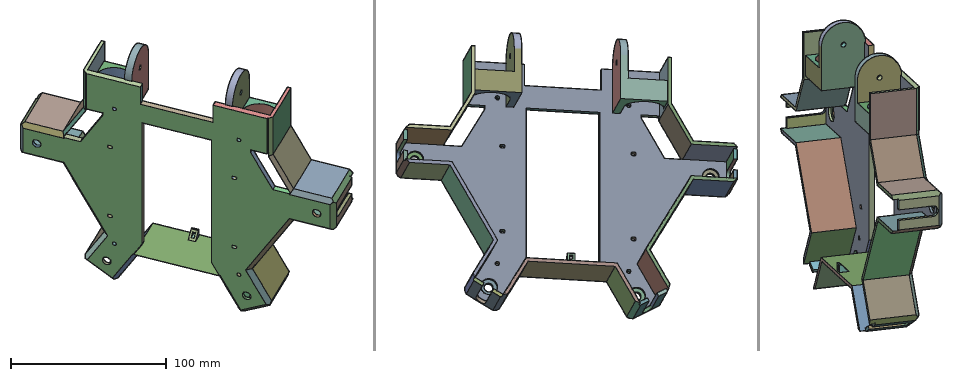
import cadquery as cq
import math

depth = 34.5
plate_thickness = 4.0
wall = 2.5
chamfer = 3.0

arm_reach = 109.0
arm_half_width = 13.0
hexagon_apothem = 75.5
shoulder_half_width = 65.5
top_z = 69.0

lower_arm_angle = 60.0
arm_turns = (0, lower_arm_angle, 180 - lower_arm_angle, 180)

opening_half_width = 24.0
opening_top = 39.3
notch_half_width = 25.0
notch_bottom = 54.5
side_window_apothem = 62.8
side_window_inner_x = 51.0

tip_hole_radius = 96.7
tip_hole_diameter = 6.0
tip_hole_depth = 2.2
counterbore_diameter = 11.0
tip_recess = 4.0
tip_slot_width = 7.2

screw_hole_diameter = 2.6
screw_hole_x = 43.0
screw_hole_z = (45.2, -67.6)
oval_hole_length = 3.3
oval_hole_width = 2.5
oval_hole_x = (-46.0, 39.7)
oval_hole_z = (12.5, -45.4)

lug_radius = 15.0
lug_inner_x = 32.3
lug_thickness = 5.0
lug_y = 18.3
lug_hole_diameter = 3.3
block_top = 53.5
arch_roof = 3.0

catch_width = 5.0
catch_height = 5.2
catch_flat = 1.3
catch_back_gap = 1.0
catch_hole_width = 2.0
catch_hole_height = 2.6

lug_front = lug_y - lug_radius
block_back = lug_y + lug_radius
lug_outer_x = lug_inner_x + lug_thickness


def prism(points, y_start, y_end):
    """Extrude an XZ polygon from y_start back to y_end."""
    plane = cq.Workplane("XZ", origin=(0, y_start, 0))
    return plane.polyline(points).close().extrude(y_start - y_end)


def box(x_range, y_range, z_range):
    """Box from its lower and upper limits along each axis."""
    sizes = [high - low for low, high in (x_range, y_range, z_range)]
    corner = (x_range[0], y_range[0], z_range[0])
    return cq.Workplane("XY").box(*sizes, centered=False).translate(corner)


def mirrored(shape):
    """The shape together with its mirror image across x = 0."""
    return shape.union(shape.mirror("YZ"))


def turn(shape, degrees):
    """Swing a shape built on the +X arm down around the Y axis."""
    return shape.rotate((0, 0, 0), (0, 1, 0), degrees)


def arm_point(radial, lateral, degrees):
    """XZ point at a distance along and an offset above an arm turned down from +X."""
    angle = math.radians(degrees)
    x = radial * math.cos(angle) + lateral * math.sin(angle)
    z = lateral * math.cos(angle) - radial * math.sin(angle)
    return (x, z)


def hexagon_z(apothem, x):
    """Height of the upper slanted hexagon side at a given x."""
    return 2 * apothem - math.sqrt(3) * x


def arm_root(apothem, half_width):
    """Distance along an arm at which its side meets the hexagon side."""
    return (2 * apothem - half_width) / math.sqrt(3)


def bracket_outline(inset, top):
    """Outline of the bracket with every side except the top moved inwards."""
    half = arm_half_width - inset
    reach = arm_reach - inset
    apothem = hexagon_apothem - inset
    root = arm_root(apothem, half)
    shoulder = shoulder_half_width - inset
    arm_corners = ((root, half), (reach, half), (reach, -half), (root, -half))
    right = [(shoulder, top), (shoulder, hexagon_z(apothem, shoulder))]
    for degrees in (0, lower_arm_angle):
        right += [arm_point(radial, lateral, degrees) for radial, lateral in arm_corners]
    left = [(-x, z) for x, z in reversed(right)]
    return right + left


def shell():
    """Plate with walls around it, chamfered along the front edges and the arm tip corners."""
    body = prism(bracket_outline(0, top_z), 0, depth)
    front_edges = [
        edge for edge in body.faces("<Y").edges().vals() if edge.Center().z < top_z - chamfer
    ]
    body = body.newObject(front_edges).chamfer(chamfer)
    tip_edges = [
        edge for edge in body.edges("|Y").vals()
        if math.hypot(edge.Center().x, edge.Center().z) > arm_reach
    ]
    body = body.newObject(tip_edges).chamfer(chamfer)
    return body.cut(prism(bracket_outline(wall, top_z), plate_thickness, depth))


def plate_openings():
    """Central opening down to the shelf, top notch and the two slanted side windows."""
    arm_inner = arm_half_width - wall
    inner_apothem = hexagon_apothem - wall
    root = arm_root(inner_apothem, arm_inner)
    shelf_corner = arm_point(root, -arm_inner, lower_arm_angle)
    bend_z = shelf_corner[1] + math.sqrt(3) * (shelf_corner[0] - opening_half_width)
    right = [(opening_half_width, opening_top), (opening_half_width, bend_z), shelf_corner]
    left = [(-x, z) for x, z in reversed(right)]
    centre = prism(right + left, 0, plate_thickness)

    notch = box((-notch_half_width, notch_half_width), (0, plate_thickness), (notch_bottom, top_z))

    shoulder = shoulder_half_width - wall
    window = prism(
        [
            (side_window_inner_x, opening_top),
            (shoulder, opening_top),
            (shoulder, hexagon_z(inner_apothem, shoulder)),
            (root, arm_inner),
            (arm_root(side_window_apothem, arm_inner), arm_inner),
            (side_window_inner_x, hexagon_z(side_window_apothem, side_window_inner_x)),
        ],
        0,
        plate_thickness,
    )
    rebate = box(
        (shoulder_half_width - chamfer, shoulder),
        (0, chamfer - wall),
        (opening_top, top_z),
    )
    return centre.union(notch).union(mirrored(window.union(rebate)))


def tip_cuts():
    """Counterbored plate hole, end wall recess and rounded end wall slot of the +X arm."""
    inner = arm_half_width - wall
    end_wall = (arm_reach - wall, arm_reach)
    hole = cq.Workplane("XZ").center(tip_hole_radius, 0).circle(tip_hole_diameter / 2)
    hole = hole.extrude(-plate_thickness)
    counterbore = cq.Workplane("XZ", origin=(0, tip_hole_depth, 0)).center(tip_hole_radius, 0)
    counterbore = counterbore.circle(counterbore_diameter / 2).extrude(tip_hole_depth - plate_thickness)
    recess = box(end_wall, (depth - tip_recess, depth), (-inner, inner))
    slot_radius = tip_slot_width / 2
    slot_centre = plate_thickness + slot_radius
    slot = box(end_wall, (slot_centre, depth), (-slot_radius, slot_radius))
    slot_end = cq.Workplane("YZ", origin=(end_wall[0], 0, 0)).center(slot_centre, 0)
    slot_end = slot_end.circle(slot_radius).extrude(wall)
    return hole.union(counterbore).union(recess).union(slot).union(slot_end)


def small_holes():
    """Round screw holes and short horizontal oval holes through the plate."""
    face = cq.Workplane("XZ")
    round_places = [(x, z) for x in (-screw_hole_x, screw_hole_x) for z in screw_hole_z]
    oval_places = [(x, z) for x in oval_hole_x for z in oval_hole_z]
    rounds = face.pushPoints(round_places).circle(screw_hole_diameter / 2).extrude(-plate_thickness)
    ovals = face.pushPoints(oval_places).slot2D(oval_hole_length, oval_hole_width)
    return rounds.union(ovals.extrude(-plate_thickness))


def hinge_mount():
    """Right-hand hinge lug with the arched block that ties it to the upright wall."""
    side = cq.Workplane("YZ", origin=(lug_inner_x, 0, 0))
    lug = (
        side.moveTo(lug_front, opening_top)
        .lineTo(lug_front, top_z)
        .threePointArc((lug_y, top_z + lug_radius), (block_back, top_z))
        .lineTo(block_back, opening_top)
        .close()
        .extrude(lug_thickness)
    )
    hole = side.center(lug_y, top_z).circle(lug_hole_diameter / 2).extrude(lug_thickness)

    wall_x = shoulder_half_width - wall
    block = box((lug_outer_x, wall_x), (plate_thickness, block_back), (opening_top, block_top))
    arch_radius = (wall_x - lug_outer_x) / 2
    arch_y = block_back - arch_roof - arch_radius
    arch = (
        cq.Workplane("XY", origin=(0, 0, opening_top))
        .moveTo(lug_outer_x, plate_thickness)
        .lineTo(lug_outer_x, arch_y)
        .threePointArc((lug_outer_x + arch_radius, arch_y + arch_radius), (wall_x, arch_y))
        .lineTo(wall_x, plate_thickness)
        .close()
        .extrude(block_top - opening_top)
    )
    return lug.cut(hole).union(block.cut(arch))


def cable_catch():
    """Sloped catch on the shelf with a rectangular hole running front to back."""
    shelf_top = wall - hexagon_apothem
    back = depth - catch_back_gap
    slope_top = back - catch_flat
    catch = (
        cq.Workplane("YZ", origin=(-catch_width / 2, 0, 0))
        .polyline(
            [
                (back, shelf_top),
                (back, shelf_top + catch_height),
                (slope_top, shelf_top + catch_height),
                (slope_top - catch_height, shelf_top),
            ]
        )
        .close()
        .extrude(catch_width)
    )
    hole_half_width = catch_hole_width / 2
    hole_middle = shelf_top + catch_height / 2
    hole_z = (hole_middle - catch_hole_height / 2, hole_middle + catch_hole_height / 2)
    hole = box((-hole_half_width, hole_half_width), (slope_top - catch_height, back), hole_z)
    return catch.cut(hole)


result = shell().cut(plate_openings()).cut(small_holes())
for degrees in arm_turns:
    result = result.cut(turn(tip_cuts(), degrees))
result = result.union(mirrored(hinge_mount())).union(cable_catch())